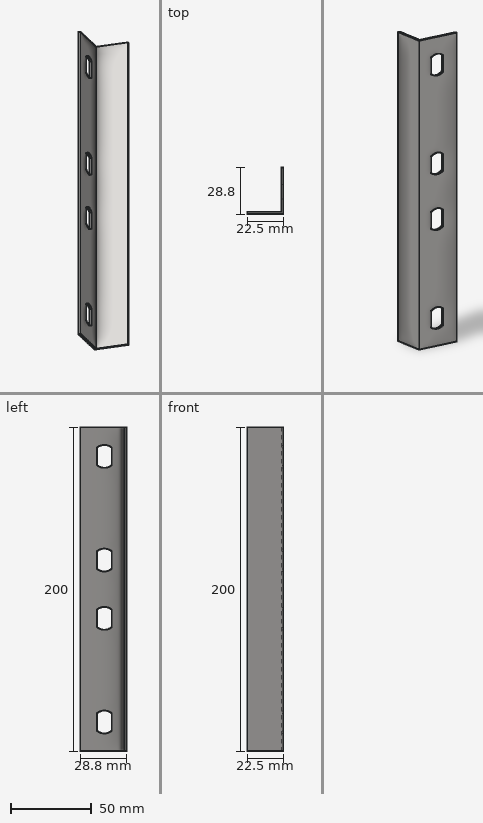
import cadquery as cq

length = 200.0
front_leg_width = 22.5
side_leg_width = 28.8
thickness = 1.5

hole_height = 14.0
hole_width = 9.0
hole_offset = 13.8
end_hole_offset = 18.0
middle_hole_spacing = 36.0


def make_angle():
    """L-shaped extrusion with its outer corner at +X, -Y."""
    front_leg = cq.Workplane("XY").box(front_leg_width, thickness, length, centered=False)
    side_leg = (
        cq.Workplane("XY")
        .box(thickness, side_leg_width, length, centered=False)
        .translate((front_leg_width - thickness, 0, 0))
    )
    return front_leg.union(side_leg)


def make_hole_cutter(height):
    """Flat-sided round cutter through the side leg, centred at the given height."""
    cutter_depth = 2 * thickness
    disc = (
        cq.Workplane("YZ")
        .circle(hole_height / 2)
        .extrude(cutter_depth / 2, both=True)
    )
    flats = cq.Workplane("XY").box(cutter_depth, hole_width, hole_height)
    centre = (front_leg_width - thickness / 2, hole_offset, height)
    return disc.intersect(flats).translate(centre)


hole_heights = (
    end_hole_offset,
    (length - middle_hole_spacing) / 2,
    (length + middle_hole_spacing) / 2,
    length - end_hole_offset,
)

result = make_angle()
for hole_level in hole_heights:
    result = result.cut(make_hole_cutter(hole_level))